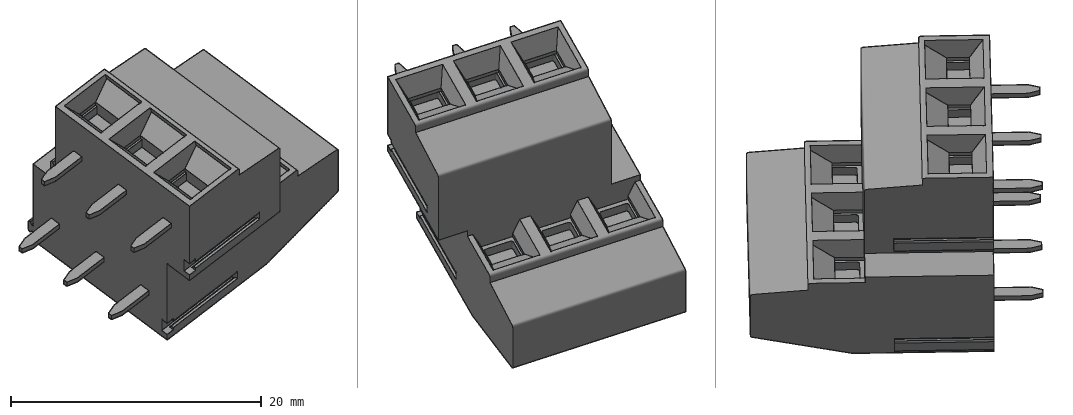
import cadquery as cq
import math


OVERALL_DEPTH = 23.4
PITCH = 5.0
POLES = 3
WIDTH = POLES * PITCH
TIER_SHIFT_X = PITCH / 2
TIER_SHIFT_Y = 9.17
TIER_SHIFT_Z = 9.69
UPPER_DEPTH = 10.27
UPPER_TOP = 18.3
LOWER_DEPTH = UPPER_DEPTH + TIER_SHIFT_Y
LOWER_TOP = UPPER_TOP - TIER_SHIFT_Z
SPLIT_Z = 9.27

STEP_Y = 5.66
STEP_DROP = 0.82
SLOPE_DROP = 0.45
EDGE_RADIUS = 0.23
UNDERCUT_Y = 11.25
UNDERCUT_ANGLE = 15.0

FUNNEL_WIDTH = 4.07
FUNNEL_FRONT = 0.54
FUNNEL_BACK = 5.2
FUNNEL_DEPTH = 1.45
FUNNEL_BACK_LIP = 0.37
THROAT_WIDTH = 2.85
THROAT_FRONT = 1.64
THROAT_BACK = 3.46
THROAT_DEPTH = 1.83
WELL_WIDTH = 2.5
WELL_FRONT = 1.47
WELL_DEPTH = 2.74
WELL_RADIUS = 0.2

PIN_LENGTH = OVERALL_DEPTH - LOWER_DEPTH
PIN_WIDTH = 0.91
PIN_HEIGHT = 0.51
PIN_TIP_WIDTH = 0.35
PIN_TIP_LENGTH = 0.94
LOWER_PIN_Z = 4.1
UPPER_PIN_Z = 14.3

RAIL_LENGTH = 7.95
RAIL_REACH = 0.55
RAIL_HEAD_HEIGHT = 1.26
RAIL_NECK_HEIGHT = 0.75
RAIL_HEAD_BACK = 0.3
RAIL_NECK_LENGTH = 0.16
RAIL_CHAMFER_X = 0.1
RAIL_CHAMFER_Z = 0.16
LOWER_RAIL_Z = 1.35
UPPER_RAIL_Z = LOWER_RAIL_Z + SPLIT_Z
GROOVE_DEPTH = 0.6
GROOVE_HEIGHT = 1.35
GROOVE_MOUTH_HEIGHT = 0.82
GROOVE_LIP = 0.23
GROOVE_LIP_ROOT = 0.45
GROOVE_ENTRY = 0.7


def extrude_x(points, x_start, length):
    """Extrude a (y, z) outline along +X."""
    return cq.Workplane("YZ").workplane(offset=x_start).polyline(points).close().extrude(length)


def extrude_y(points, y_start, length):
    """Extrude an (x, z) outline along +Y."""
    return cq.Workplane("XZ").workplane(offset=-y_start).polyline(points).close().extrude(-length)


def box(x_range, y_range, z_range):
    """Box given by its limits along each axis."""
    size = [high - low for low, high in (x_range, y_range, z_range)]
    return cq.Workplane("XY").box(*size, centered=False).translate((x_range[0], y_range[0], z_range[0]))


def round_edges(body, corners):
    """Round the edges along X that pass through the given (y, z) corners."""
    for y, z in corners:
        x_mid = body.val().BoundingBox().center.x
        edge = cq.selectors.NearestToPointSelector((x_mid, y, z))
        body = body.edges("|X").edges(edge).fillet(EDGE_RADIUS)
    return body


def upper_housing():
    step_z = UPPER_TOP - STEP_DROP
    back_z = step_z - SLOPE_DROP
    outline = [
        (0, SPLIT_Z),
        (0, UPPER_TOP),
        (STEP_Y, UPPER_TOP),
        (STEP_Y, step_z),
        (UPPER_DEPTH, back_z),
        (UPPER_DEPTH, SPLIT_Z),
    ]
    body = extrude_x(outline, TIER_SHIFT_X, WIDTH)
    return round_edges(body, [(STEP_Y, UPPER_TOP), (UPPER_DEPTH, back_z)])


def lower_housing():
    step_y = STEP_Y + TIER_SHIFT_Y
    step_z = LOWER_TOP - STEP_DROP
    back_z = step_z - SLOPE_DROP
    back_foot_z = (LOWER_DEPTH - UNDERCUT_Y) * math.tan(math.radians(UNDERCUT_ANGLE))
    outline = [
        (0, 0),
        (0, SPLIT_Z),
        (UPPER_DEPTH, SPLIT_Z),
        (UPPER_DEPTH, LOWER_TOP),
        (step_y, LOWER_TOP),
        (step_y, step_z),
        (LOWER_DEPTH, back_z),
        (LOWER_DEPTH, back_foot_z),
        (UNDERCUT_Y, 0),
    ]
    body = extrude_x(outline, 0, WIDTH)
    return round_edges(body, [(step_y, LOWER_TOP), (LOWER_DEPTH, back_z), (LOWER_DEPTH, back_foot_z)])


def wire_opening(rim_front, throat_front):
    """Funnel, throat and well, centred on x = 0 with the rim at z = 0."""
    side_outline = [
        (rim_front, 0),
        (FUNNEL_BACK, 0),
        (FUNNEL_BACK, -FUNNEL_BACK_LIP),
        (THROAT_BACK, -FUNNEL_DEPTH),
        (throat_front, -FUNNEL_DEPTH),
    ]
    cross_outline = [
        (-FUNNEL_WIDTH / 2, 0),
        (FUNNEL_WIDTH / 2, 0),
        (THROAT_WIDTH / 2, -FUNNEL_DEPTH),
        (-THROAT_WIDTH / 2, -FUNNEL_DEPTH),
    ]
    funnel = extrude_x(side_outline, -FUNNEL_WIDTH / 2, FUNNEL_WIDTH)
    funnel = funnel.intersect(extrude_y(cross_outline, rim_front, FUNNEL_BACK - rim_front))
    half_throat = THROAT_WIDTH / 2
    throat = box(
        (-half_throat, half_throat), (throat_front, THROAT_BACK), (-THROAT_DEPTH, -FUNNEL_DEPTH)
    )
    half_well = WELL_WIDTH / 2
    well = box((-half_well, half_well), (WELL_FRONT, THROAT_BACK), (-WELL_DEPTH, -THROAT_DEPTH))
    well = well.edges("|Z and <Y").fillet(WELL_RADIUS)
    return funnel.union(throat).union(well)


def pin(x, z):
    """Flat pin tapering to a blunt tip; it starts at the front face."""
    half = PIN_WIDTH / 2
    half_tip = PIN_TIP_WIDTH / 2
    shoulder = -(PIN_LENGTH - PIN_TIP_LENGTH)
    outline = [
        (-half, 0),
        (half, 0),
        (half, shoulder),
        (half_tip, -PIN_LENGTH),
        (-half_tip, -PIN_LENGTH),
        (-half, shoulder),
    ]
    blank = cq.Workplane("XY").polyline(outline).close().extrude(PIN_HEIGHT)
    return blank.translate((x, 0, z - PIN_HEIGHT / 2))


def mirrored_outline(upper_half):
    """Complete a half outline by its mirror image below z = 0."""
    return upper_half + [(x, -z) for x, z in reversed(upper_half)]


def rail(wall_x, z):
    """T-shaped rail standing on the left wall at wall_x."""
    half_head = RAIL_HEAD_HEIGHT / 2
    half_neck = RAIL_NECK_HEIGHT / 2
    upper_half = [
        (0, half_neck),
        (-RAIL_NECK_LENGTH, half_neck),
        (-RAIL_HEAD_BACK, half_head),
        (-RAIL_REACH + RAIL_CHAMFER_X, half_head),
        (-RAIL_REACH, half_head - RAIL_CHAMFER_Z),
    ]
    return extrude_y(mirrored_outline(upper_half), 0, RAIL_LENGTH).translate((wall_x, 0, z))


def groove(wall_x, z):
    """Undercut groove in the right wall at wall_x, with a full-height entry."""
    half_height = GROOVE_HEIGHT / 2
    half_mouth = GROOVE_MOUTH_HEIGHT / 2
    upper_half = [
        (0, half_mouth),
        (-GROOVE_LIP, half_mouth),
        (-GROOVE_LIP_ROOT, half_height),
        (-GROOVE_DEPTH, half_height),
    ]
    channel = extrude_y(mirrored_outline(upper_half), 0, RAIL_LENGTH)
    entry = box((-GROOVE_DEPTH, 0), (0, GROOVE_ENTRY), (-half_height, half_height))
    return channel.union(entry).translate((wall_x, 0, z))


result = lower_housing().union(upper_housing())

upper_opening = wire_opening(FUNNEL_FRONT, THROAT_FRONT)
tier_wall = UPPER_DEPTH - TIER_SHIFT_Y
lower_opening = wire_opening(tier_wall, tier_wall)

for pole in range(POLES):
    lower_x = (pole + 0.5) * PITCH
    upper_x = lower_x + TIER_SHIFT_X
    result = result.cut(upper_opening.translate((upper_x, 0, UPPER_TOP)))
    result = result.cut(lower_opening.translate((lower_x, TIER_SHIFT_Y, LOWER_TOP)))
    result = result.union(pin(upper_x, UPPER_PIN_Z))
    result = result.union(pin(lower_x, LOWER_PIN_Z))

for left_x, rail_z in ((0, LOWER_RAIL_Z), (TIER_SHIFT_X, UPPER_RAIL_Z)):
    result = result.union(rail(left_x, rail_z))
    result = result.cut(groove(left_x + WIDTH, rail_z))